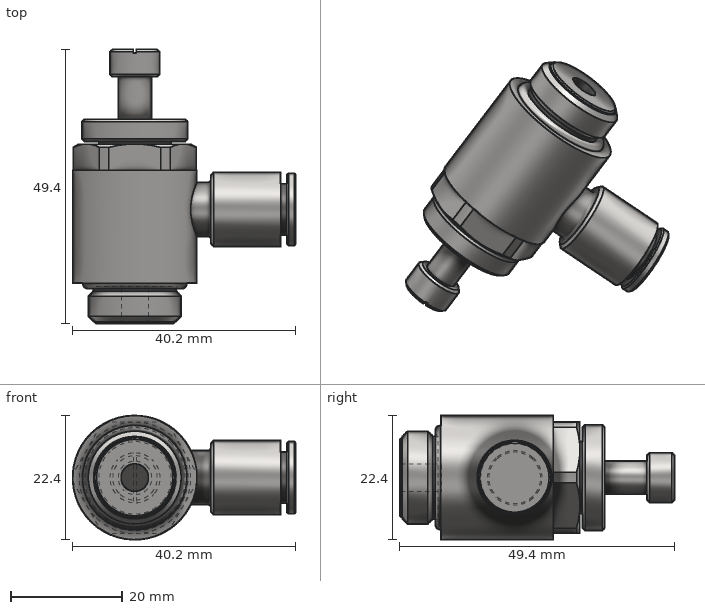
import cadquery as cq
import math


thread_radius = 8.35
thread_end_radius = 7.4
thread_end_face = 0.45
thread_end_chamfer = thread_radius - thread_end_radius
thread_top = 5.0
relief_radius = 7.45
relief_start = 5.95
insert_radius = 7.15
insert_face_radius = 6.85
insert_chamfer_height = 0.3
bore_radius = 2.45
bore_depth = 7.4

body_diameter = 22.4
body_radius = body_diameter / 2
body_bottom = 7.35
body_top = 27.65

ring_radius = 8.35
ring_section_radius = 1.05

hex_sides = 6
hex_across_flats = 20.05
hex_corner_radius = 11.05
hex_top = 32.35
hex_chamfer_angle = 30.0

collar_radius = 6.5
lock_nut_radius = 9.55
lock_nut_bottom = 32.8
lock_nut_top = 36.85
stem_radius = 3.0
knob_radius = 4.5
knob_bottom = 44.45
knob_top = 49.4
screw_chamfer = 0.5
slot_width = 0.5
slot_depth = 0.65

port_y = 20.6
port_neck_radius = 4.9
port_neck_fillet = 0.4
sleeve_radius = 6.7
sleeve_start = 13.65
sleeve_end = 26.25
sleeve_chamfer = 0.6
port_groove_radius = 4.65
release_radius = 6.5
release_start = 27.4
overall_width = 40.2
release_end = overall_width - body_radius
release_chamfer = 0.3


def disc(radius, start, end):
    """Cylinder on the main axis between two Y positions."""
    return cq.Workplane("XZ", origin=(0, start, 0)).circle(radius).extrude(start - end)


def port_disc(radius, start, end):
    """Cylinder on the side port's axis between two X positions."""
    return cq.Workplane("YZ", origin=(start, port_y, 0)).circle(radius).extrude(end - start)


def turned(profile):
    """Revolve a closed outline of (radius, Y) points about the main axis."""
    return cq.Workplane("XY").polyline(profile).close().revolve(360, (0, 0), (0, 1))


def threaded_end():
    profile = [
        (0, 0),
        (insert_face_radius, 0),
        (insert_radius, insert_chamfer_height),
        (insert_radius, thread_end_face),
        (thread_end_radius, thread_end_face),
        (thread_radius, thread_end_face + thread_end_chamfer),
        (thread_radius, thread_top),
        (relief_radius, relief_start),
        (relief_radius, body_bottom),
        (0, body_bottom),
    ]
    return turned(profile)


def seal_ring():
    section = cq.Workplane("XY").center(ring_radius, body_bottom).circle(ring_section_radius)
    return section.revolve(360, (-ring_radius, 0), (-ring_radius, 1))


def hexagon():
    flats_radius = hex_across_flats / 2
    hex_across_corners = hex_across_flats / math.cos(math.pi / hex_sides)
    corner_drop = (hex_corner_radius - flats_radius) * math.tan(math.radians(hex_chamfer_angle))
    prism = (
        cq.Workplane("XZ", origin=(0, body_top, 0))
        .polygon(hex_sides, hex_across_corners)
        .extrude(body_top - hex_top)
    )
    turned_profile = [
        (0, body_top),
        (hex_corner_radius, body_top),
        (hex_corner_radius, hex_top - corner_drop),
        (flats_radius, hex_top),
        (0, hex_top),
    ]
    return prism.intersect(turned(turned_profile))


def adjusting_screw():
    collar = disc(collar_radius, hex_top, lock_nut_bottom)
    lock_nut = disc(lock_nut_radius, lock_nut_bottom, lock_nut_top).edges().chamfer(screw_chamfer)
    stem = disc(stem_radius, lock_nut_top, knob_bottom)
    knob = disc(knob_radius, knob_bottom, knob_top).edges().chamfer(screw_chamfer)
    slot = cq.Workplane("XY").box(slot_width, 2 * slot_depth, 2 * knob_radius)
    slot = slot.translate((0, knob_top, 0))
    return collar.union(lock_nut).union(stem).union(knob.cut(slot))


def side_port():
    neck_end = sleeve_start - port_neck_fillet
    flare_radius = port_neck_radius + port_neck_fillet
    neck = (
        cq.Workplane("XY", origin=(0, port_y, 0))
        .lineTo(0, port_neck_radius)
        .lineTo(neck_end, port_neck_radius)
        .radiusArc((sleeve_start, flare_radius), -port_neck_fillet)
        .lineTo(sleeve_start, 0)
        .close()
        .revolve(360, (0, 0), (1, 0))
    )
    sleeve = port_disc(sleeve_radius, sleeve_start, sleeve_end)
    sleeve = sleeve.faces("<X").edges().chamfer(sleeve_chamfer)
    groove = port_disc(port_groove_radius, sleeve_end, release_start)
    release = port_disc(release_radius, release_start, release_end).edges().chamfer(release_chamfer)
    return neck.union(sleeve).union(groove).union(release)


result = (
    disc(body_radius, body_bottom, body_top)
    .union(threaded_end())
    .union(seal_ring())
    .union(hexagon())
    .union(adjusting_screw())
    .union(side_port())
    .cut(disc(bore_radius, 0, bore_depth))
)